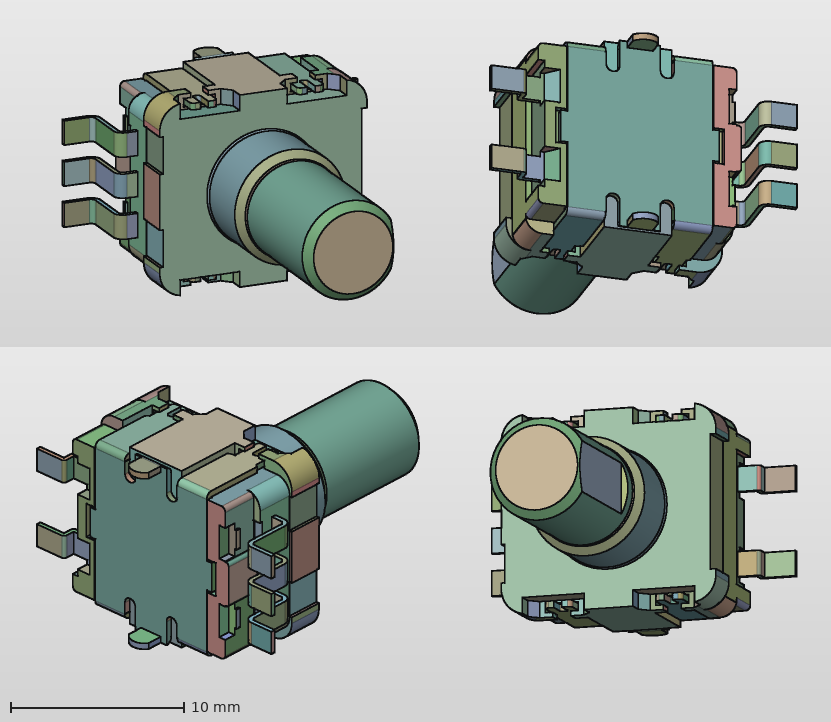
import cadquery as cq


sheet = 0.4
cover_top = 5.85
panel_top = cover_top - sheet
body_top = panel_top - sheet
cover_bend_radius = 0.99 * sheet

flange_rear = 4.9
flange_front = 7.2
flange_half_width = 6.54
flange_corner_radius = 1.5
flange_side_half_height = 3.97
flange_side_y_front = -6.34
flange_side_y_back = 6.2
flange_pad_half_height = 1.7

middle_rear = 2.4
body_y_front = -6.37
body_y_back = 6.17
body_corner_radius = 1.0
rear_y_front = -5.86
rear_corner_radius = 0.3
rear_back_recess_y = 5.79
rib_y = -6.13
rib_half_height = 1.45
rib_edge_radius = 0.2
rib_root = 0.3
notch_half_height = 3.23
notch_length = 0.2
notch_floor_y = -5.75
rail_inner_y = 4.47

plate_half_width = 4.4
plate_gap = 0.06
ear_y = 4.8
ear_half_height = 0.98
ear_pocket_y = 5.1
ear_pocket_half_height = 1.1
relief_y = 1.64
relief_width = 0.82
relief_end_z = 3.85
tab_end = -1.45
tab_width = 1.55
tab_straight_end = -1.03

center_half_width = 2.05
tongue_y = 3.37
panel_inner_y = 2.08
panel_shoulder_x = 4.25
tongue_x = 4.4
tongue_half_width = 0.83
tongue_end = 6.4
tongue_corner_radius = 0.25
slit_rear = 5.15
slit_width = 0.48
slit_corner_radius = 0.2
window_half_width = 0.56
tongue_slot_half_width = 1.0
tongue_clearance = 0.12
recess_rear = 5.7
recess_half_width = 1.88
recess_chamfer = 0.55
recess_floor = 4.9

bushing_radius = 3.5
bushing_end = 11.45
bushing_chamfer = 0.46
collar_flare = 0.07
collar_end = 7.4
neck_radius = 1.5
shaft_radius = 3.0
shaft_start = 11.66
shaft_end = 19.95
shaft_chamfer = 0.5
flat_start = 12.5
flat_y = 2.6

lead_thickness = 0.3
lead_width = 1.48
lead_pitch = 2.5
front_lead_end = -9.5
front_lead_step_y = -7.65
front_lead_exit = 3.4
front_lead_bend = 0.58
back_lead_end = 9.0
back_lead_step_y = 6.84
back_lead_exit = 0.8
back_lead_bend = 0.2

front_pocket_depth = 0.8
front_pocket_floor_y = -5.39
front_pocket_z = (1.5, 3.7)
stub_z = (1.98, 3.26)
stub_y = -6.0
back_pocket_z = (1.45, 3.52)
back_pocket_y = 4.84
back_pocket_knee_y = 5.54


def block(x0, x1, y0, y1, z0, z1):
    """Box between pairs of X, Y and Z positions."""
    size = (x1 - x0, y1 - y0, z1 - z0)
    return cq.Workplane("XY").box(*size, centered=False).translate((x0, y0, z0))


def block_pair(x0, x1, y0, y1, z0, z1):
    """The box and its mirror image about Z = 0."""
    return block(x0, x1, y0, y1, z0, z1).union(block(x0, x1, y0, y1, -z1, -z0))


def with_mirror(solid):
    """The solid and its mirror image about Z = 0."""
    return solid.union(solid.mirror("XY"))


def extrude_up(outline, z0, z1):
    """Prism over a closed XY outline."""
    return cq.Workplane("XY").workplane(offset=z0).polyline(outline).close().extrude(z1 - z0)


def make_flange():
    """Rounded front flange, relieved along both Y sides except for a pad on the -Y side."""
    flange = block(flange_rear, flange_front, -flange_half_width, flange_half_width, -cover_top, cover_top)
    flange = flange.edges("|X").fillet(flange_corner_radius)
    side_z = flange_side_half_height
    back = block(flange_rear, flange_front, flange_side_y_back, flange_half_width, -side_z, side_z)
    front = block_pair(
        flange_rear, flange_front, -flange_half_width, flange_side_y_front, flange_pad_half_height, side_z
    )
    return flange.cut(back).cut(front)


def make_body():
    """Middle block with a raised rail on the +Y side, and the narrower rear block with its central rib."""
    middle = block(middle_rear, flange_rear, body_y_front, body_y_back, -body_top, body_top)
    middle = middle.edges("|X and <Y").fillet(body_corner_radius)
    rail = block(middle_rear, flange_rear, rail_inner_y, body_y_back, -cover_top, cover_top)
    rail = rail.edges("|X and >Y").fillet(body_corner_radius)
    notch_end = middle_rear + notch_length
    notch = block(middle_rear, notch_end, body_y_front, notch_floor_y, -notch_half_height, notch_half_height)
    middle = middle.union(rail).cut(notch)

    rear = block(0, middle_rear, rear_y_front, body_y_back, -body_top, body_top)
    rear = rear.edges("|X").fillet(rear_corner_radius)
    side_z = flange_side_half_height
    rear = rear.cut(block(0, middle_rear, rear_back_recess_y, body_y_back, -side_z, side_z))
    rib = block(0, middle_rear, rib_y, rear_y_front + rib_root, -rib_half_height, rib_half_height)
    rib = rib.edges("|X and <Y").fillet(rib_edge_radius)
    return middle.union(rear).union(rib)


def cut_lead_pockets(body):
    """Pockets around the outer leads: square with a stub on the -Y side, sloped on the +Y side."""
    z0, z1 = front_pocket_z
    body = body.cut(block_pair(0, front_pocket_depth, rear_y_front, front_pocket_floor_y, z0, z1))
    z0, z1 = stub_z
    stub_end = front_pocket_depth + lead_thickness
    body = body.union(block_pair(front_pocket_depth, stub_end, stub_y, front_pocket_floor_y, z0, z1))
    z0, z1 = back_pocket_z
    outline = [
        (0, back_pocket_y),
        (back_lead_exit, back_pocket_knee_y),
        (back_lead_exit, rear_back_recess_y),
        (0, rear_back_recess_y),
    ]
    return body.cut(with_mirror(extrude_up(outline, z0, z1)))


def make_panel(sign):
    """Folded cover panel on one side of the centre, ending in a split tongue that locks in the flange."""
    center = sign * tongue_y
    inner = sign * panel_inner_y
    outer = sign * plate_half_width
    tongue_inner = center - sign * tongue_half_width
    tongue_outer = center + sign * tongue_half_width
    outline = [
        (0, inner),
        (panel_shoulder_x, inner),
        (tongue_x, tongue_inner),
        (flange_rear, tongue_inner),
        (flange_rear, tongue_outer),
        (tongue_x, tongue_outer),
        (panel_shoulder_x, outer),
        (0, outer),
    ]
    panel = extrude_up(outline, body_top, panel_top).edges("<X and >Z").fillet(cover_bend_radius)
    length = tongue_end - flange_rear
    tongue = (
        cq.Workplane("XY", origin=(flange_rear + length / 2, center, body_top))
        .rect(length, 2 * tongue_half_width)
        .extrude(sheet)
        .edges("|Z and >X")
        .fillet(tongue_corner_radius)
    )
    slit = block(slit_rear, tongue_end, center - slit_width / 2, center + slit_width / 2, body_top, panel_top)
    slit = slit.edges("|Z and <X").fillet(slit_corner_radius)
    return panel.union(tongue.cut(slit))


def cut_flange_window(flange, sign):
    """Window, passage and chamfered recess that expose the tongue of one panel."""
    center = sign * tongue_y
    y0 = center - window_half_width
    y1 = center + window_half_width
    window = block(flange_rear, recess_rear, y0, y1, body_top, cover_top)
    y0 = center - tongue_slot_half_width
    y1 = center + tongue_slot_half_width
    slot = block(flange_rear, recess_rear, y0, y1, body_top, panel_top + tongue_clearance)
    y0 = center - recess_half_width
    y1 = center + recess_half_width
    recess = block(recess_rear, flange_front, y0, y1, recess_floor, cover_top)
    recess = recess.edges("|Z and <X").chamfer(recess_chamfer)
    return flange.cut(with_mirror(window.union(slot).union(recess)))


def make_center_cover():
    """Raised centre strip of the cover."""
    return block_pair(sheet, flange_rear, -center_half_width, center_half_width, body_top, cover_top)


def make_locating_tab():
    """Centre strip of the rear plate, bent backwards into a rounded tab."""
    strip_half_width = relief_y - relief_width / 2
    strip = block(0, sheet, -strip_half_width, strip_half_width, relief_end_z, cover_top)
    strip = strip.edges(">X and >Z").fillet(cover_bend_radius)
    tab = (
        cq.Workplane("XY", origin=(0, 0, panel_top))
        .moveTo(0, tab_width / 2)
        .lineTo(tab_straight_end, tab_width / 2)
        .threePointArc((tab_end, 0), (tab_straight_end, -tab_width / 2))
        .lineTo(0, -tab_width / 2)
        .close()
        .extrude(sheet)
    )
    return with_mirror(strip.union(tab))


def cut_plate_outline(body):
    """Fine gap around the rear plate and the clearance around its two side ears."""
    for y0, y1 in ((plate_half_width, ear_pocket_y), (-ear_pocket_y, -plate_half_width)):
        pocket = block(0, sheet, y0, y1, -ear_pocket_half_height, ear_pocket_half_height)
        body = body.cut(pocket)
    gap_half_width = plate_half_width + plate_gap
    body = body.cut(block(0, sheet, plate_half_width, gap_half_width, -body_top, body_top))
    body = body.cut(block(0, sheet, -gap_half_width, -plate_half_width, -body_top, body_top))
    return body.union(block(0, sheet, -ear_y, ear_y, -ear_half_height, ear_half_height))


def make_relief_slots():
    """Round-ended slots either side of each locating tab."""
    slots = cq.Workplane("XY")
    radius = relief_width / 2
    for y in (-relief_y, relief_y):
        slot = block(0, sheet, y - radius, y + radius, relief_end_z + radius, cover_top)
        end = cq.Workplane("YZ", origin=(0, y, relief_end_z + radius)).circle(radius).extrude(sheet)
        slots = slots.union(with_mirror(slot.union(end)))
    return slots


def make_bushing():
    """Bushing, neck and flatted shaft, turned about the X axis."""
    outline = [
        (flange_rear, 0),
        (flange_rear, bushing_radius),
        (flange_front, bushing_radius + collar_flare),
        (collar_end, bushing_radius),
        (bushing_end - bushing_chamfer, bushing_radius),
        (bushing_end, bushing_radius - bushing_chamfer),
        (bushing_end, neck_radius),
        (shaft_start, neck_radius),
        (shaft_start, shaft_radius),
        (shaft_end - shaft_chamfer, shaft_radius),
        (shaft_end, shaft_radius - shaft_chamfer),
        (shaft_end, 0),
    ]
    turned = cq.Workplane("XY").polyline(outline).close().revolve(360, (0, 0, 0), (1, 0, 0))
    return turned.cut(block(flat_start, shaft_end, flat_y, shaft_radius, -shaft_radius, shaft_radius))


def make_lead(end_y, step_y, exit_x, root_y, bend_radius, z):
    """Z-bent lead: foot along Y at X = 0, step along X, then along Y into the body."""
    t = lead_thickness
    near, far = step_y, step_y + t
    foot_side, body_side = (near, far) if end_y < 0 else (far, near)
    z0 = z - lead_width / 2
    z1 = z + lead_width / 2
    foot = block(0, t, min(end_y, body_side), max(end_y, body_side), z0, z1)
    step = block(0, exit_x + t, near, far, z0, z1)
    root = block(exit_x, exit_x + t, min(foot_side, root_y), max(foot_side, root_y), z0, z1)
    lead = foot.union(step).union(root).clean()
    inner_radius = bend_radius - t if bend_radius > t else 0
    corners = [
        (0, body_side, bend_radius),
        (exit_x + t, foot_side, bend_radius),
        (t, foot_side, inner_radius),
        (exit_x, body_side, inner_radius),
    ]
    for x, y, radius in corners:
        if radius:
            edge = cq.selectors.NearestToPointSelector((x, y, z))
            lead = lead.edges("|Z").edges(edge).fillet(radius)
    return lead


def make_leads():
    """Three leads on the -Y side and two on the +Y side."""
    leads = cq.Workplane("XY")
    for z in (-lead_pitch, 0, lead_pitch):
        leads = leads.union(
            make_lead(front_lead_end, front_lead_step_y, front_lead_exit, body_y_front, front_lead_bend, z)
        )
    for z in (-lead_pitch, lead_pitch):
        leads = leads.union(
            make_lead(back_lead_end, back_lead_step_y, back_lead_exit, back_pocket_knee_y, back_lead_bend, z)
        )
    return leads


housing = make_flange()
for side in (-1, 1):
    housing = cut_flange_window(housing, side)
housing = housing.union(cut_lead_pockets(cut_plate_outline(make_body())))
housing = housing.union(make_center_cover())
for side in (-1, 1):
    housing = housing.union(with_mirror(make_panel(side)))
housing = housing.cut(make_relief_slots()).union(make_locating_tab())
result = housing.union(make_bushing()).union(make_leads())